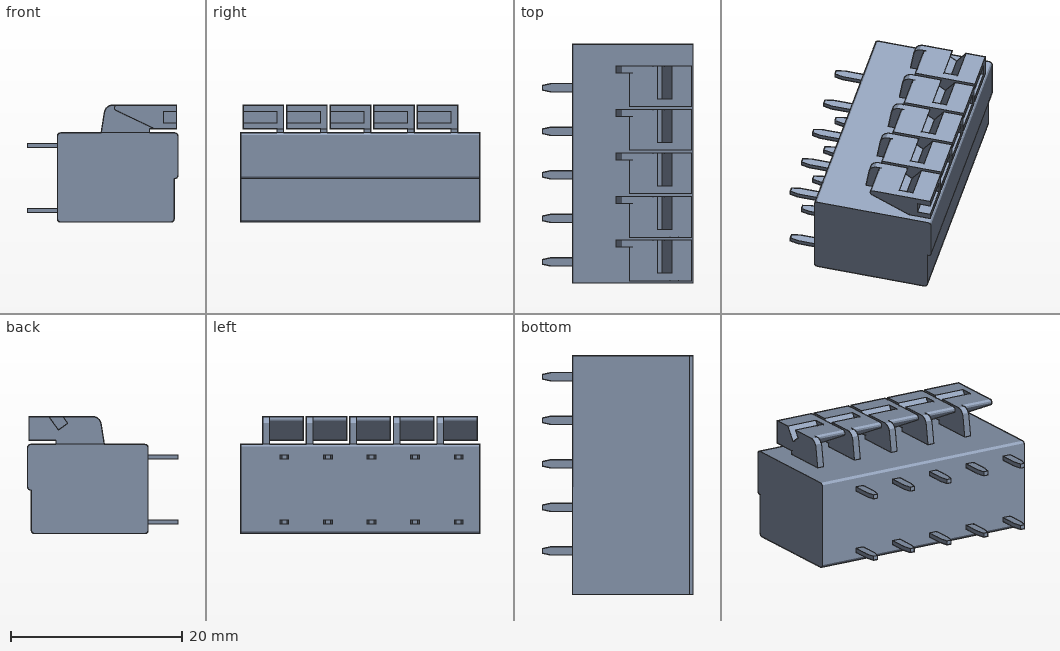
import cadquery as cq
import math

HOUSING_DEPTH = 14.1
HOUSING_LENGTH = 27.95
HOUSING_HEIGHT = 10.45
STEP_DEPTH = 0.45
STEP_HEIGHT = 5.09
HOUSING_RADIUS = 0.42

POLE_COUNT = 5
POLE_PITCH = 5.09
FIRST_POLE_SIDE = 25.37

LEVER_WIDTH = 4.75
LEVER_TOP = 13.7
LEVER_BOTTOM = 10.9
LEVER_NOSE_X = 6.68
LEVER_END_X = 13.95
NOSE_RADIUS = 0.34
WEDGE_END_X = 11.4

ARM_WIDTH = 0.8
ARM_FRONT_X = 5.1
ARM_BACK_X = 10.78
ARM_LEAN = 9.0
ARM_RADIUS = 1.03

NOTCH_DEPTH = 1.55
NOTCH_BOTTOM = 11.6
NOTCH_TOP = 12.95

SLOT_LENGTH = 3.85
SLOT_FRONT_X = 9.97
SLOT_BACK_X = 11.62
SLOT_WALL_RUN = 1.15
SLOT_LEAN = 36.0

PIN_REACH = 3.5
PIN_WIDTH = 1.0
PIN_TIP_WIDTH = 0.55
PIN_TAPER = 1.0
PIN_THICKNESS = 0.5
PIN_HEIGHTS = (1.37, 8.97)
PIN_OFFSET = 2.55


def extrude_along_y(points, y_start, length):
    """Extrude an outline of (x, z) points from y_start towards +Y."""
    plane = cq.Plane(origin=(0, y_start, 0), xDir=(1, 0, 0), normal=(0, -1, 0))
    return cq.Workplane(plane).polyline(points).close().extrude(-length)


def make_housing():
    outline = [
        (0, 0),
        (HOUSING_DEPTH - STEP_DEPTH, 0),
        (HOUSING_DEPTH - STEP_DEPTH, STEP_HEIGHT),
        (HOUSING_DEPTH, STEP_HEIGHT),
        (HOUSING_DEPTH, HOUSING_HEIGHT),
        (0, HOUSING_HEIGHT),
    ]
    housing = extrude_along_y(outline, 0, HOUSING_LENGTH)
    lower_edges = housing.edges("|Y").edges("<Z").vals()
    upper_edges = housing.edges("|Y").edges(">Z").vals()
    ledge_edge = housing.edges("|Y").edges(">X").edges("<Z").vals()
    return housing.newObject(lower_edges + upper_edges + ledge_edge).fillet(HOUSING_RADIUS)


def make_arm(side_y):
    height = LEVER_TOP - HOUSING_HEIGHT
    lean_run = height * math.tan(math.radians(ARM_LEAN))
    outline = [
        (ARM_FRONT_X, HOUSING_HEIGHT),
        (ARM_BACK_X, HOUSING_HEIGHT),
        (ARM_BACK_X, LEVER_BOTTOM),
        (WEDGE_END_X, LEVER_BOTTOM),
        (WEDGE_END_X, LEVER_TOP),
        (ARM_FRONT_X + lean_run, LEVER_TOP),
    ]
    arm = extrude_along_y(outline, side_y - ARM_WIDTH, ARM_WIDTH)
    return arm.edges("|Y").edges(">Z").edges("<X").fillet(ARM_RADIUS)


def make_wedge(side_y):
    nose_x = LEVER_NOSE_X + NOSE_RADIUS
    nose_z = LEVER_TOP - NOSE_RADIUS
    run = WEDGE_END_X - nose_x
    drop = nose_z - LEVER_BOTTOM
    reach = math.hypot(run, drop)
    slope = math.atan2(drop, run) - math.asin(NOSE_RADIUS / reach)
    tangent_x = nose_x - NOSE_RADIUS * math.sin(slope)
    tangent_z = nose_z - NOSE_RADIUS * math.cos(slope)
    plane = cq.Plane(origin=(0, side_y, 0), xDir=(1, 0, 0), normal=(0, -1, 0))
    return (
        cq.Workplane(plane)
        .moveTo(nose_x, LEVER_TOP)
        .threePointArc((LEVER_NOSE_X, nose_z), (tangent_x, tangent_z))
        .lineTo(WEDGE_END_X, LEVER_BOTTOM)
        .lineTo(LEVER_END_X, LEVER_BOTTOM)
        .lineTo(LEVER_END_X, LEVER_TOP)
        .close()
        .extrude(LEVER_WIDTH)
    )


def make_notch(side_y):
    outline = [
        (LEVER_END_X - NOTCH_DEPTH, NOTCH_BOTTOM),
        (LEVER_END_X, NOTCH_BOTTOM),
        (LEVER_END_X, NOTCH_TOP),
        (LEVER_END_X - NOTCH_DEPTH, NOTCH_TOP),
    ]
    return extrude_along_y(outline, side_y - LEVER_WIDTH, LEVER_WIDTH - ARM_WIDTH)


def make_slot(side_y):
    lean = math.radians(SLOT_LEAN)
    wall_drop = SLOT_WALL_RUN / math.tan(lean)
    width = (SLOT_BACK_X - SLOT_FRONT_X) * math.cos(lean)
    floor_back = (SLOT_BACK_X - SLOT_WALL_RUN, LEVER_TOP - wall_drop)
    floor_front = (
        floor_back[0] - width * math.cos(lean),
        floor_back[1] + width * math.sin(lean),
    )
    outline = [
        (SLOT_FRONT_X, LEVER_TOP),
        floor_front,
        floor_back,
        (SLOT_BACK_X, LEVER_TOP),
    ]
    return extrude_along_y(outline, side_y - SLOT_LENGTH, SLOT_LENGTH)


def make_lever(side_y):
    body = make_wedge(side_y).union(make_arm(side_y))
    return body.cut(make_notch(side_y)).cut(make_slot(side_y))


def make_pin(middle_y, middle_z):
    half_width = PIN_WIDTH / 2
    half_tip = PIN_TIP_WIDTH / 2
    taper_x = PIN_TAPER - PIN_REACH
    outline = [
        (0, middle_y - half_width),
        (0, middle_y + half_width),
        (taper_x, middle_y + half_width),
        (-PIN_REACH, middle_y + half_tip),
        (-PIN_REACH, middle_y - half_tip),
        (taper_x, middle_y - half_width),
    ]
    bottom = middle_z - PIN_THICKNESS / 2
    return cq.Workplane("XY").workplane(offset=bottom).polyline(outline).close().extrude(PIN_THICKNESS)


result = make_housing()
for pole in range(POLE_COUNT):
    pole_side = FIRST_POLE_SIDE - pole * POLE_PITCH
    result = result.union(make_lever(pole_side))
    for pin_height in PIN_HEIGHTS:
        result = result.union(make_pin(pole_side - PIN_OFFSET, pin_height))